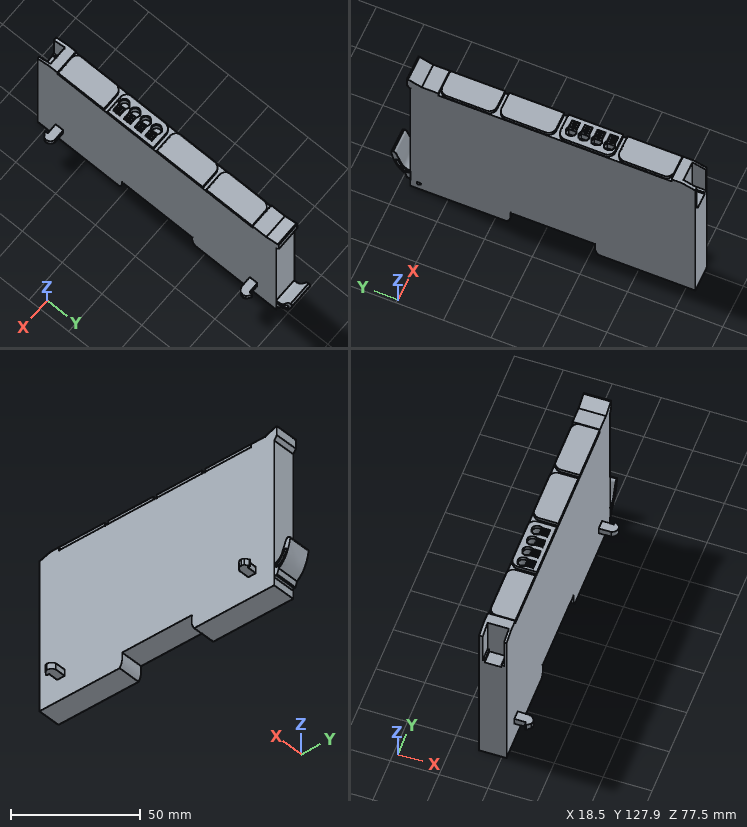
import cadquery as cq
WIDTH = 11.3
DEPTH = 119.7
TOP_Z = 75.5

BEAK_OVERHANG = 1.4
BEAK_TOP_Z = 77.5
BEAK_FLAT = 0.5
BEAK_SLOPE_END = 4.9
BEAK_LOW_Z = 73.0
BEAK_ROOT_Z = 71.1

FRONT_SLOPE_RUN = 5.6
FRONT_SLOPE_DROP = 1.8

RAIL_FRONT_Y = 42.2
RAIL_BACK_Y = 77.6
RAIL_DEPTH = 7.0
RAIL_FLARE = 1.3
RAIL_FLARE_HEIGHT = 4.1

POCKET_LEFT_X = 1.5
POCKET_RIGHT_X = 10.2
POCKET_FLOOR_Z = 58.6
SLOT_LEFT_INSET = 0.8
SLOT_RIGHT_INSET = 1.2
SLOT_DEPTH = 1.2

PIVOT_Y = 116.1
PIVOT_Z = 4.0
PIVOT_RADIUS = 0.83
PIVOT_DEPTH = 2.5

HOOK_TIP_X = 18.5
HOOK_NOSE_X = 16.4
HOOK_NOSE_RUN = 2.8
HOOK_NECK = 0.4
HOOK_BARB_X = 16.0
HOOK_THICKNESS = 3.8
HOOK_INNER_Y = 12.9
HOOK_MIDDLE_Y = 59.7
HOOK_BARB = 1.3
HOOK_BARB_FLAT = 0.5
HOOK_BOTTOM_Z = 10.7
HOOK_HEIGHT = 3.1

BLOCK_COUNT = 4
BLOCK_LENGTH = 23.0
BLOCK_GAP = 1.8
BLOCK_PITCH = BLOCK_LENGTH + BLOCK_GAP
BLOCK_HEIGHT = 1.5
BLOCK_INSET = 0.3
BLOCK_CORNER = 3.2
BLOCK_CLEARANCE = 0.3
FIRST_BLOCK_Y = 10.2
LEDGE_Z = TOP_Z - BLOCK_HEIGHT
LEDGE_START_Y = FIRST_BLOCK_Y - BLOCK_CLEARANCE
LEDGE_LENGTH = BLOCK_COUNT * BLOCK_PITCH - BLOCK_GAP + 2 * BLOCK_CLEARANCE
WIRED_BLOCK = 1

CLAMP_COUNT = 4
CLAMP_PITCH = 5.4
FIRST_CLAMP_Y = 38.0
OPENING_X = 4.6
OPENING_RADIUS = 2.2
OPENING_DEPTH = 5.1
CLAMP_LEFT_X = 6.0
CLAMP_LENGTH = 3.3
CLAMP_WIDTH = 3.3
CLAMP_RISE = 0.4
CLAMP_GROOVE_WIDTH = 0.5
CLAMP_GROOVE_DEPTH = 1.2
CLAMP_BEVEL = 0.32

LEVER_LEFT_X = 0.4
LEVER_TIP_Y = 127.9


def box(x0, x1, y0, y1, z0, z1):
    return cq.Workplane("XY").box(x1 - x0, y1 - y0, z1 - z0, centered=False).translate((x0, y0, z0))


def tangent_arc_radius(offset, length):
    """Radius of an arc that leaves a straight line tangentially and drifts by offset over length."""
    return (offset ** 2 + length ** 2) / (2 * offset)


def clamp_centers():
    return [FIRST_CLAMP_Y + i * CLAMP_PITCH for i in range(CLAMP_COUNT)]


def wire_opening(center_y):
    """Round shaft with its right side cut flat where the clamp begins."""
    shaft = (
        cq.Workplane("XY", origin=(OPENING_X, center_y, TOP_Z - OPENING_DEPTH))
        .circle(OPENING_RADIUS).extrude(OPENING_DEPTH)
    )
    beyond_clamp_face = box(
        CLAMP_LEFT_X, WIDTH, center_y - OPENING_RADIUS, center_y + OPENING_RADIUS, TOP_Z - OPENING_DEPTH, TOP_Z
    )
    return shaft.cut(beyond_clamp_face)


def housing_shell():
    beak_y = DEPTH + BEAK_OVERHANG
    flare_radius = tangent_arc_radius(RAIL_FLARE, RAIL_FLARE_HEIGHT)
    return (
        cq.Workplane("YZ")
        .moveTo(0, 0)
        .lineTo(RAIL_FRONT_Y - RAIL_FLARE, 0)
        .radiusArc((RAIL_FRONT_Y, RAIL_FLARE_HEIGHT), -flare_radius)
        .lineTo(RAIL_FRONT_Y, RAIL_DEPTH)
        .lineTo(RAIL_BACK_Y, RAIL_DEPTH)
        .lineTo(RAIL_BACK_Y, RAIL_FLARE_HEIGHT)
        .radiusArc((RAIL_BACK_Y + RAIL_FLARE, 0), -flare_radius)
        .lineTo(DEPTH, 0)
        .lineTo(DEPTH, BEAK_ROOT_Z)
        .lineTo(beak_y, BEAK_LOW_Z)
        .lineTo(beak_y, BEAK_TOP_Z)
        .lineTo(beak_y - BEAK_FLAT, BEAK_TOP_Z)
        .lineTo(DEPTH - BEAK_SLOPE_END, TOP_Z)
        .lineTo(FRONT_SLOPE_RUN, TOP_Z)
        .lineTo(0, TOP_Z - FRONT_SLOPE_DROP)
        .close()
        .extrude(WIDTH)
    )


def front_pocket():
    pocket = box(POCKET_LEFT_X, POCKET_RIGHT_X, 0, FRONT_SLOPE_RUN, POCKET_FLOOR_Z, TOP_Z)
    slot = box(
        POCKET_LEFT_X + SLOT_LEFT_INSET, POCKET_RIGHT_X - SLOT_RIGHT_INSET,
        0, FRONT_SLOPE_RUN, POCKET_FLOOR_Z - SLOT_DEPTH, POCKET_FLOOR_Z,
    )
    return pocket.union(slot)


def front_hook():
    """Snap hook near the front; its barb points toward the front."""
    inner_y = HOOK_INNER_Y
    outer_y = inner_y - HOOK_THICKNESS
    nose_radius = tangent_arc_radius(HOOK_TIP_X - HOOK_NOSE_X, HOOK_NOSE_RUN)
    return (
        cq.Workplane("XY", origin=(0, 0, HOOK_BOTTOM_Z))
        .moveTo(WIDTH, inner_y)
        .lineTo(HOOK_NOSE_X, inner_y)
        .radiusArc((HOOK_TIP_X, inner_y - HOOK_NOSE_RUN), nose_radius)
        .lineTo(HOOK_TIP_X - HOOK_NECK, outer_y)
        .lineTo(HOOK_BARB_X + HOOK_BARB_FLAT, outer_y - HOOK_BARB)
        .lineTo(HOOK_BARB_X, outer_y - HOOK_BARB)
        .lineTo(HOOK_BARB_X, outer_y)
        .lineTo(WIDTH, outer_y)
        .close()
        .extrude(HOOK_HEIGHT)
    )


def make_housing():
    ledge = box(0, WIDTH, LEDGE_START_Y, LEDGE_START_Y + LEDGE_LENGTH, LEDGE_Z, TOP_Z)
    pivot = (
        cq.Workplane("YZ").center(PIVOT_Y, PIVOT_Z).circle(PIVOT_RADIUS).extrude(PIVOT_DEPTH)
    )
    back_hook = front_hook().mirror("XZ").translate((0, 2 * HOOK_MIDDLE_Y, 0))
    housing = housing_shell().cut(front_pocket()).cut(ledge).cut(pivot)
    housing = housing.union(front_hook()).union(back_hook)
    for y in clamp_centers():
        housing = housing.cut(wire_opening(y))
    return housing


def clamp_blank(center_y):
    return box(
        CLAMP_LEFT_X, CLAMP_LEFT_X + CLAMP_LENGTH,
        center_y - CLAMP_WIDTH / 2, center_y + CLAMP_WIDTH / 2,
        LEDGE_Z, TOP_Z + CLAMP_RISE,
    )


def make_block(index):
    start_y = FIRST_BLOCK_Y + index * BLOCK_PITCH
    block = box(BLOCK_INSET, WIDTH, start_y, start_y + BLOCK_LENGTH, LEDGE_Z, TOP_Z)
    block = block.edges("|Z and <X").fillet(BLOCK_CORNER)
    if index == WIRED_BLOCK:
        for y in clamp_centers():
            block = block.cut(wire_opening(y)).cut(clamp_blank(y))
    return block


def make_clamp(center_y):
    """Block with a groove along X that leaves two raised ribs, bevelled except beside the opening."""
    groove_top = TOP_Z + CLAMP_RISE
    groove = box(
        CLAMP_LEFT_X, CLAMP_LEFT_X + CLAMP_LENGTH,
        center_y - CLAMP_GROOVE_WIDTH / 2, center_y + CLAMP_GROOVE_WIDTH / 2,
        groove_top - CLAMP_GROOVE_DEPTH, groove_top,
    )
    ribbed = clamp_blank(center_y).cut(groove)
    return ribbed.faces(">Z").edges("not <X").chamfer(CLAMP_BEVEL)


def make_lever():
    """Curved lever with a long slot, standing against the back wall."""
    profile = cq.Workplane("YZ", origin=(LEVER_LEFT_X, 0, 0))
    arm = (
        profile
        .moveTo(DEPTH, 4.0)
        .lineTo(120.5, 4.6)
        .lineTo(121.2, 4.6)
        .lineTo(122.0, 7.2)
        .spline([(124.5, 9.7), (126.5, 13.3), (LEVER_TIP_Y, 18.9)], includeCurrent=True)
        .threePointArc((127.6, 19.7), (127.0, 20.1))
        .threePointArc((126.2, 19.7), (125.6, 18.7))
        .lineTo(123.8, 14.1)
        .spline([(122.1, 11.5), (DEPTH, 10.4)], includeCurrent=True)
        .close()
        .extrude(WIDTH - LEVER_LEFT_X)
    )
    slot = (
        profile
        .moveTo(126.0, 14.3)
        .spline([(125.0, 11.6), (123.1, 9.6), (121.5, 8.5)], includeCurrent=True)
        .lineTo(120.5, 8.6)
        .lineTo(120.5, 9.5)
        .lineTo(121.1, 9.6)
        .spline([(123.1, 11.5), (124.4, 13.4), (125.0, 14.7)], includeCurrent=True)
        .threePointArc((125.6, 15.1), (126.0, 14.3))
        .close()
        .extrude(WIDTH - LEVER_LEFT_X)
    )
    return arm.cut(slot)


housing = make_housing()
lever = make_lever()
blocks = [make_block(i) for i in range(BLOCK_COUNT)]
clamps = [make_clamp(y) for y in clamp_centers()]

result = cq.Compound.makeCompound([
    housing.val(),
    lever.val(),
    *[block.val() for block in blocks],
    *[clamp.val() for clamp in clamps],
])